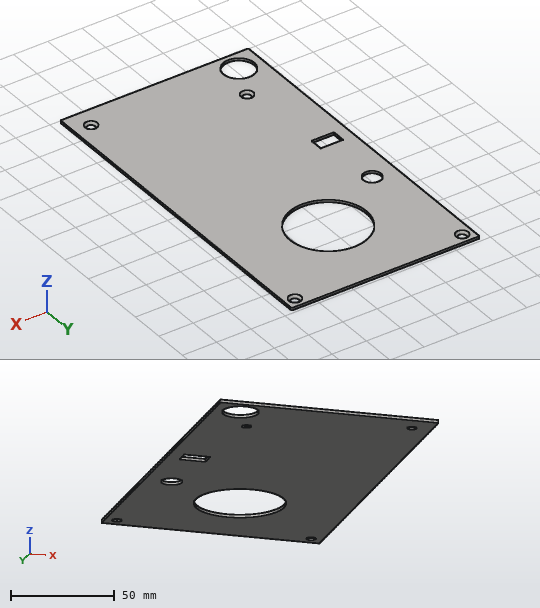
import cadquery as cq

plate_width = 109.73
plate_length = 196.6
plate_thickness = 1.52
corner_radius = 0.5

main_opening_diameter = 44.45
main_opening_y = 49.5

column_x = -41.3
upper_hole_diameter = 10.2
upper_hole_y = 26.8
window_width = 13.0
window_height = 7.8
window_y = -11.4
lower_hole_diameter = 17.8
lower_hole_y = -86.6

screw_hole_diameter = 4.4
countersink_diameter = 7.1
corner_inset = 6.0
corner_screw_x = plate_width / 2 - corner_inset
corner_screw_y = plate_length / 2 - corner_inset
screw_positions = [
    (-corner_screw_x, corner_screw_y),
    (corner_screw_x, corner_screw_y),
    (-31.9, -65.9),
    (45.0, lower_hole_y),
]


def make_plate():
    plate = cq.Workplane("XY").box(
        plate_width, plate_length, plate_thickness, centered=(True, True, False)
    )
    return plate.edges("|Z").fillet(corner_radius)


def round_cutter(x, y, diameter):
    return cq.Workplane("XY").center(x, y).circle(diameter / 2).extrude(plate_thickness)


def window_cutter():
    return (
        cq.Workplane("XY")
        .center(column_x, window_y)
        .rect(window_width, window_height)
        .extrude(plate_thickness)
    )


def screw_cutter(x, y):
    """Cone widening from the screw clearance at the underside to the countersink at the top."""
    return (
        cq.Workplane("XY")
        .center(x, y)
        .circle(screw_hole_diameter / 2)
        .workplane(offset=plate_thickness)
        .circle(countersink_diameter / 2)
        .loft(ruled=True)
    )


result = make_plate()
result = result.cut(round_cutter(0, main_opening_y, main_opening_diameter))
result = result.cut(round_cutter(column_x, upper_hole_y, upper_hole_diameter))
result = result.cut(round_cutter(column_x, lower_hole_y, lower_hole_diameter))
result = result.cut(window_cutter())
for screw_x, screw_y in screw_positions:
    result = result.cut(screw_cutter(screw_x, screw_y))